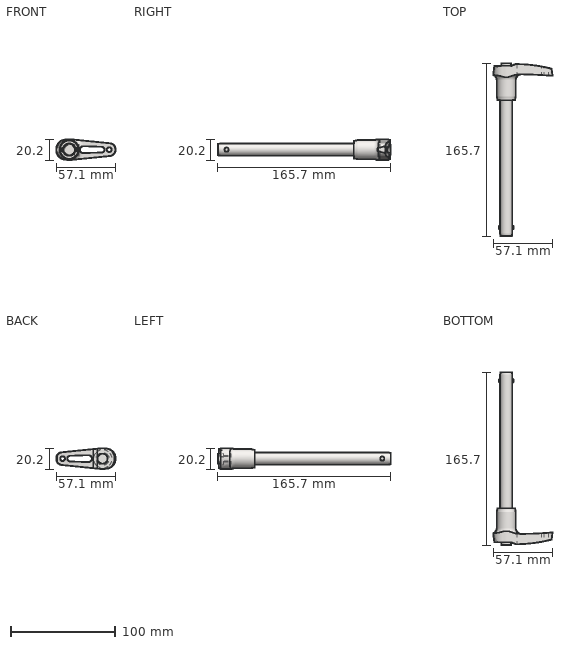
import cadquery as cq
import math


SHANK_RADIUS = 6.0
SHANK_LENGTH = 130.3
TIP_CHAMFER_LENGTH = 2.5
TIP_CHAMFER_DEPTH = 0.5

BALL_RADIUS = 2.15
BALL_PROTRUSION = 1.3
BALL_Y = -122.0

COLLAR_RADIUS = 9.25
COLLAR_FOOT_RADIUS = 8.75
COLLAR_FOOT_HEIGHT = 1.5
COLLAR_TAPER_TOP_Y = 3.5
FLARE_RADIUS = 5.5

BUTTON_RADIUS = 4.8
BUTTON_TOP_Y = 35.4
BUTTON_ROUND = 0.3

HEEL_CIRCLE = (-2.8, 9.8)
HUB_CIRCLE = (0.0, 10.105)
TIP_CIRCLE = (38.25, 6.25)

UNDERSIDE_Y = 24.6
TIP_UNDERSIDE_Y = 23.1
BEND_START_X = 9.0
HUB_TOP_Y = 32.8
RAMP_START_X = 4.9
CREST_X = 9.0
CREST_Y = 34.6
BACK_MIDDLE_X = 27.0
BACK_MIDDLE_Y = 33.4
TIP_TOP_Y = 30.1
END_DRAFT_ANGLE = 8.0
HEEL_CUT_RADIUS = 12.0

SLOT_INNER_CIRCLE = (13.45, 3.2)
SLOT_OUTER_CIRCLE = (31.1, 2.6)
EYE_RADIUS = 2.2

CUT_MARGIN = 5.0
HEEL_END_X = HEEL_CIRCLE[0] - HEEL_CIRCLE[1]
TIP_END_X = TIP_CIRCLE[0] + TIP_CIRCLE[1]


def tangent_points(left, right):
    """Upper touching points of the common tangent of two circles on the X axis."""
    sine = (left[1] - right[1]) / (right[0] - left[0])
    cosine = math.sqrt(1 - sine**2)
    return [(x + radius * sine, radius * cosine) for x, radius in (left, right)]


def wrapped_prism(circles):
    """Prism along +Y whose outline is a belt around circles centred on the X axis."""
    upper = []
    for left, right in zip(circles, circles[1:]):
        upper.append(tangent_points(left, right))
    lower = [[(x, -z) for x, z in pair] for pair in upper]

    outline = cq.Workplane("XZ").moveTo(*upper[0][0]).lineTo(*upper[0][1])
    for (x, radius), pair in zip(circles[1:-1], upper[1:]):
        outline = outline.threePointArc((x, radius), pair[0]).lineTo(*pair[1])
    last_x, last_radius = circles[-1]
    outline = outline.threePointArc((last_x + last_radius, 0), lower[-1][1])
    outline = outline.lineTo(*lower[-1][0])
    for (x, radius), pair in zip(reversed(circles[1:-1]), reversed(lower[:-1])):
        outline = outline.threePointArc((x, -radius), pair[1]).lineTo(*pair[0])
    first_x, first_radius = circles[0]
    outline = outline.threePointArc((first_x - first_radius, 0), upper[0][0])
    return outline.close().extrude(-(BUTTON_TOP_Y + CUT_MARGIN))


def make_side_profile():
    """Handle seen along Z, with the slanted tip end and a heel end left long for trimming."""
    tip_top_x = TIP_END_X - (TIP_TOP_Y - TIP_UNDERSIDE_Y) * math.tan(math.radians(END_DRAFT_ANGLE))
    heel_x = HEEL_END_X - CUT_MARGIN
    half_width = HUB_CIRCLE[1] + CUT_MARGIN
    return (
        cq.Workplane("XY")
        .moveTo(heel_x, UNDERSIDE_Y)
        .lineTo(BEND_START_X, UNDERSIDE_Y)
        .tangentArcPoint((TIP_END_X, TIP_UNDERSIDE_Y), relative=False)
        .lineTo(tip_top_x, TIP_TOP_Y)
        .threePointArc((BACK_MIDDLE_X, BACK_MIDDLE_Y), (CREST_X, CREST_Y))
        .lineTo(RAMP_START_X, HUB_TOP_Y)
        .lineTo(heel_x, HUB_TOP_Y)
        .close()
        .extrude(half_width, both=True)
    )


def make_flare():
    """Concave flare that joins the collar to the underside of the handle."""
    outer_radius = COLLAR_RADIUS + FLARE_RADIUS
    diagonal = FLARE_RADIUS * math.sqrt(0.5)
    flare_start_y = UNDERSIDE_Y - FLARE_RADIUS
    return (
        cq.Workplane("XY")
        .moveTo(0, flare_start_y)
        .lineTo(COLLAR_RADIUS, flare_start_y)
        .threePointArc((outer_radius - diagonal, flare_start_y + diagonal), (outer_radius, UNDERSIDE_Y))
        .lineTo(outer_radius, HUB_TOP_Y)
        .lineTo(0, HUB_TOP_Y)
        .close()
        .revolve(360, (0, 0, 0), (0, 1, 0))
    )


def trim_heel(body):
    """Round the heel with a cylinder that leans towards the hub; it overshoots the handle elsewhere."""
    reach = TIP_END_X - HEEL_END_X + CUT_MARGIN
    keep = (
        cq.Workplane("XZ", origin=(HEEL_END_X, 0, 0))
        .moveTo(HEEL_CUT_RADIUS, HEEL_CUT_RADIUS)
        .threePointArc((0, 0), (HEEL_CUT_RADIUS, -HEEL_CUT_RADIUS))
        .lineTo(reach, -HEEL_CUT_RADIUS)
        .lineTo(reach, HEEL_CUT_RADIUS)
        .close()
        .extrude(BUTTON_TOP_Y, both=True)
        .translate((0, UNDERSIDE_Y, 0))
        .rotate((HEEL_END_X, UNDERSIDE_Y, 0), (HEEL_END_X, UNDERSIDE_Y, 1), -END_DRAFT_ANGLE)
    )
    return body.intersect(keep)


def make_handle():
    outline = wrapped_prism([HEEL_CIRCLE, HUB_CIRCLE, TIP_CIRCLE])
    lever = outline.intersect(make_side_profile())
    flare = make_flare().intersect(outline)
    handle = trim_heel(lever.union(flare))
    slot = wrapped_prism([SLOT_INNER_CIRCLE, SLOT_OUTER_CIRCLE])
    eye = (
        cq.Workplane("XZ")
        .center(TIP_CIRCLE[0], 0)
        .circle(EYE_RADIUS)
        .extrude(-(BUTTON_TOP_Y + CUT_MARGIN))
    )
    return handle.cut(slot).cut(eye)


def make_pin():
    """Shank and collar, turned about the pin axis."""
    return (
        cq.Workplane("XY")
        .moveTo(0, -SHANK_LENGTH)
        .lineTo(SHANK_RADIUS - TIP_CHAMFER_DEPTH, -SHANK_LENGTH)
        .lineTo(SHANK_RADIUS, TIP_CHAMFER_LENGTH - SHANK_LENGTH)
        .lineTo(SHANK_RADIUS, 0)
        .lineTo(COLLAR_FOOT_RADIUS, 0)
        .lineTo(COLLAR_FOOT_RADIUS, COLLAR_FOOT_HEIGHT)
        .lineTo(COLLAR_RADIUS, COLLAR_TAPER_TOP_Y)
        .lineTo(COLLAR_RADIUS, UNDERSIDE_Y)
        .lineTo(0, UNDERSIDE_Y)
        .close()
        .revolve(360, (0, 0, 0), (0, 1, 0))
    )


def make_button():
    return (
        cq.Workplane("XZ", origin=(0, UNDERSIDE_Y, 0))
        .circle(BUTTON_RADIUS)
        .extrude(UNDERSIDE_Y - BUTTON_TOP_Y)
        .faces(">Y")
        .edges()
        .fillet(BUTTON_ROUND)
    )


def make_ball(side):
    x = side * (SHANK_RADIUS + BALL_PROTRUSION - BALL_RADIUS)
    return cq.Workplane("XY").sphere(BALL_RADIUS).translate((x, BALL_Y, 0))


result = make_pin().union(make_handle()).union(make_button())
for side in (-1, 1):
    result = result.union(make_ball(side))